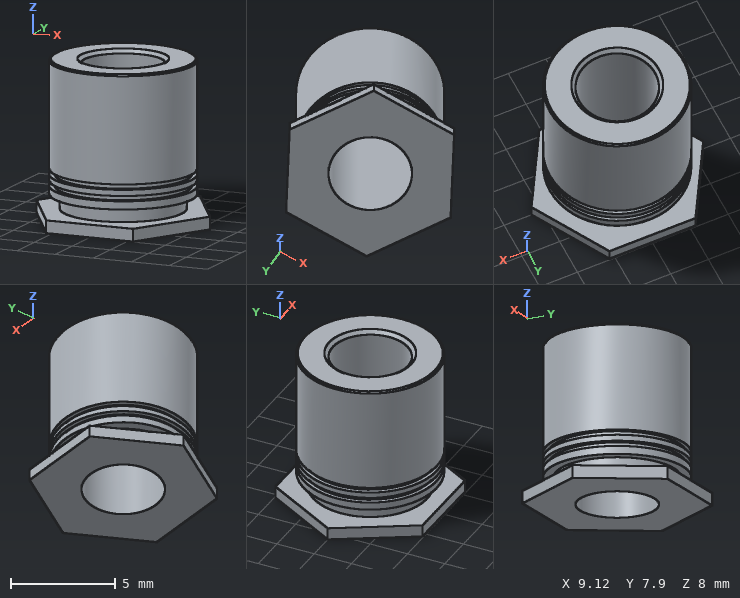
import cadquery as cq

hex_across_corners = 9.12
hex_thickness = 0.64

total_height = 8.0
body_diameter = 7.12
groove_diameter = 6.61
neck_diameter = 6.1
edge_chamfer = 0.08

neck_height = 0.73
lower_rib_height = 0.4
upper_rib_height = 0.3
groove_height = 0.26

bore_diameter = 4.0
bore_chamfer = 0.2


def disc(diameter, bottom, height):
    return cq.Workplane("XY").workplane(offset=bottom).circle(diameter / 2).extrude(height)


def make_base():
    return cq.Workplane("XY").polygon(6, hex_across_corners).extrude(hex_thickness)


def make_sleeve():
    """Stack the neck, ribs, grooves and main barrel from the base upward."""
    steps = [
        (neck_diameter, neck_height),
        (body_diameter, lower_rib_height),
        (groove_diameter, groove_height),
        (body_diameter, upper_rib_height),
        (groove_diameter, groove_height),
    ]
    bottom = hex_thickness
    sleeve = None
    for diameter, height in steps:
        step = disc(diameter, bottom, height)
        sleeve = step if sleeve is None else sleeve.union(step)
        bottom += height
    barrel = disc(body_diameter, bottom, total_height - bottom)
    return sleeve.union(barrel.faces(">Z").edges().chamfer(edge_chamfer))


def cut_bore(part):
    """Drill through the part and chamfer the upper mouth of the hole."""
    part = part.cut(disc(bore_diameter, 0, total_height))
    mouth = part.faces(">Z").edges(cq.selectors.RadiusNthSelector(0))
    return mouth.chamfer(bore_chamfer)


result = cut_bore(make_base().union(make_sleeve()))